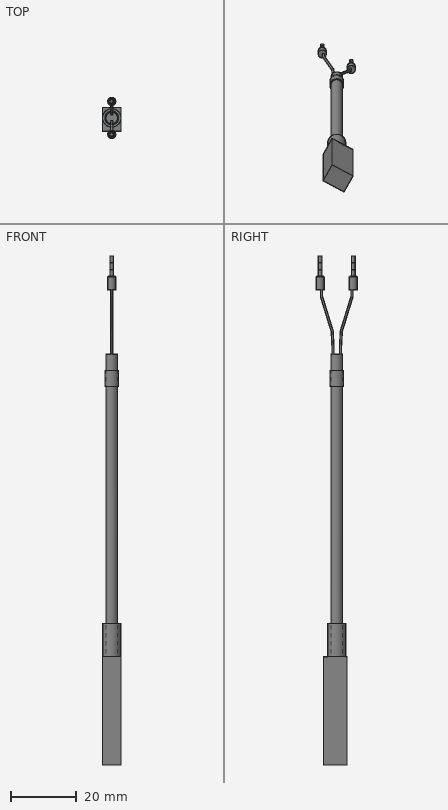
import cadquery as cq

overall_height = 154.8

housing_width = 5.7
housing_depth = 7.3
housing_height = 33.0
housing_offset_y = -0.5
sleeve_diameter = 5.5
sleeve_height = 10.0

cable_diameter = 3.5
cable_top = 124.9
collar_diameter = 4.2
collar_bottom = 115.0
collar_height = 5.0

leads_outer_depth = 12.5
ferrule_diameter = 2.5
ferrule_height = 4.2
ferrule_chamfer = 0.3
pin_diameter = 1.2
pin_height = 6.2
groove_diameter = 1.1
groove_height = 0.2
groove_pitch = 2.2
groove_count = 2
ferrule_bottom = overall_height - pin_height - ferrule_height
wire_entry_y = 4.6
ferrule_y = (leads_outer_depth - ferrule_diameter) / 2
wire_diameter = 0.7
wire_exit_y = 1.16
wire_fork_y = 1.4
wire_stub_top = 127.4
wire_fork_z = 131.9
wire_straight_end = 2.0


def cylinder(diameter, bottom, height):
    """Upright cylinder on the Z axis."""
    return cq.Workplane("XY").workplane(offset=bottom).circle(diameter / 2).extrude(height)


def make_housing():
    """Block and sleeve, with a bore in the sleeve that seats the cable."""
    block = (
        cq.Workplane("XY")
        .center(0, housing_offset_y)
        .rect(housing_width, housing_depth)
        .extrude(housing_height)
    )
    sleeve = cylinder(sleeve_diameter, housing_height, sleeve_height)
    bore = cylinder(cable_diameter, housing_height, sleeve_height)
    return block.union(sleeve).cut(bore)


def make_cable():
    """Round cable standing on the floor of the sleeve bore."""
    return cylinder(cable_diameter, housing_height, cable_top - housing_height)


def make_collar():
    """Ring that fits around the cable."""
    ring = cylinder(collar_diameter, collar_bottom, collar_height)
    return ring.cut(cylinder(cable_diameter, collar_bottom, collar_height))


def make_wire(side):
    """Wire that leaves the cable end and spreads outward to its ferrule."""
    path = (
        cq.Workplane("YZ")
        .moveTo(side * wire_exit_y, cable_top)
        .lineTo(side * wire_exit_y, wire_stub_top)
        .lineTo(side * wire_fork_y, wire_fork_z)
        .lineTo(side * wire_entry_y, ferrule_bottom - wire_straight_end)
        .lineTo(side * wire_entry_y, ferrule_bottom)
    )
    profile = cq.Workplane("XY", origin=(0, side * wire_exit_y, cable_top)).circle(wire_diameter / 2)
    return profile.sweep(path, transition="right")


def make_terminal():
    """Chamfered ferrule and grooved contact pin, centred on the Z axis."""
    ferrule = cylinder(ferrule_diameter, ferrule_bottom, ferrule_height)
    ferrule = ferrule.faces(">Z").chamfer(ferrule_chamfer)
    terminal = ferrule.union(cylinder(pin_diameter, overall_height - pin_height, pin_height))
    for index in range(1, groove_count + 1):
        groove_bottom = overall_height - index * groove_pitch
        groove = cylinder(pin_diameter, groove_bottom, groove_height)
        groove = groove.cut(cylinder(groove_diameter, groove_bottom, groove_height))
        terminal = terminal.cut(groove)
    return terminal


def make_lead(side):
    """One wire with its terminal, on the +Y or -Y side."""
    return make_wire(side).union(make_terminal().translate((0, side * ferrule_y, 0)))


housing = make_housing()
cable = make_cable()
collar = make_collar()
leads = [make_lead(side).val() for side in (-1, 1)]

result = cq.Compound.makeCompound([housing.val(), cable.val(), collar.val(), *leads])